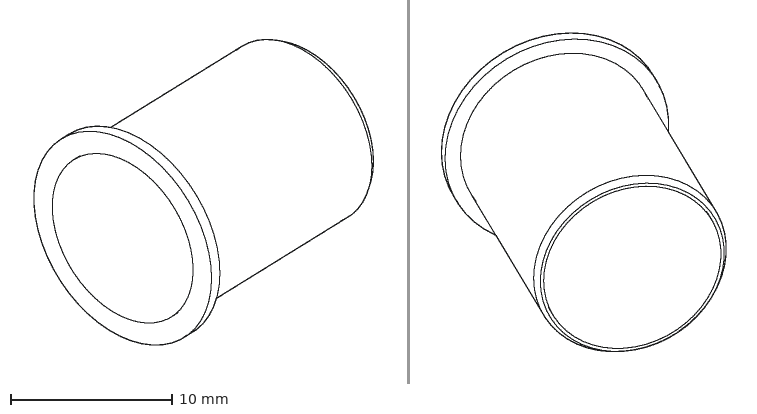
import cadquery as cq
import math

length = 17.0
flange_diameter = 14.5
flange_thickness = 0.8
body_diameter = 12.5
bore_diameter = 11.5

chamfer_length = 0.5
chamfer_angle = 30.0
chamfer_depth = chamfer_length * math.tan(math.radians(chamfer_angle))

flange_radius = flange_diameter / 2
body_radius = body_diameter / 2
bore_radius = bore_diameter / 2

flange_face = -length / 2
flange_back = flange_face + flange_thickness
sleeve_end = length / 2

wall_section = [
    (bore_radius, flange_face),
    (flange_radius, flange_face),
    (flange_radius, flange_back),
    (body_radius, flange_back),
    (body_radius, sleeve_end - chamfer_length),
    (body_radius - chamfer_depth, sleeve_end),
    (bore_radius, sleeve_end),
]

result = cq.Workplane("XY").polyline(wall_section).close().revolve(360, (0, 0, 0), (0, 1, 0))